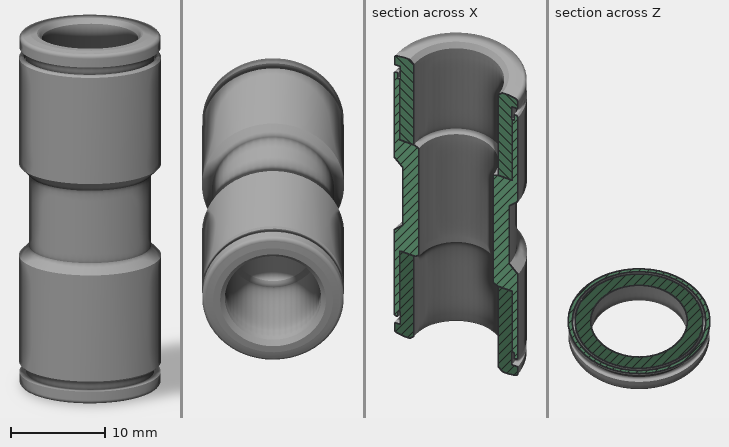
import cadquery as cq

total_length = 39.0
half_length = total_length / 2

housing_radius = 15.1 / 2
neck_radius = 13.0 / 2
neck_half_length = 4.0
shoulder_height = housing_radius - neck_radius
sleeve_end_z = 17.05
sleeve_chamfer = 0.2
clearance_radius = 14.1 / 2
clearance_depth = 0.78

passage_radius = 9.0 / 2
bore_radius = 10.2 / 2
stop_cone_height = 0.27

stem_radius = 13.6 / 2
stem_inner_end_z = 7.8
flange_radius = 15.0 / 2
flange_bottom_z = 17.98
flange_rounding = 0.43
crown_radius = 12.7 / 2
crown_drop = 0.1
mouth_radius = 11.25 / 2
mouth_depth = 0.5


def revolve_about_z(profile):
    """Turn a closed (radius, z) profile into a solid of revolution."""
    return profile.close().revolve(360, (0, 0), (0, 1))


def make_housing():
    body = revolve_about_z(
        cq.Workplane("XZ")
        .moveTo(0, -sleeve_end_z)
        .lineTo(housing_radius - sleeve_chamfer, -sleeve_end_z)
        .lineTo(housing_radius, -sleeve_end_z + sleeve_chamfer)
        .lineTo(housing_radius, -neck_half_length - shoulder_height)
        .lineTo(neck_radius, -neck_half_length)
        .lineTo(neck_radius, neck_half_length)
        .lineTo(housing_radius, neck_half_length + shoulder_height)
        .lineTo(housing_radius, sleeve_end_z - sleeve_chamfer)
        .lineTo(housing_radius - sleeve_chamfer, sleeve_end_z)
        .lineTo(0, sleeve_end_z)
    )
    clearance_floor_z = sleeve_end_z - clearance_depth
    cavity = revolve_about_z(
        cq.Workplane("XZ")
        .moveTo(0, -sleeve_end_z)
        .lineTo(clearance_radius, -sleeve_end_z)
        .lineTo(clearance_radius, -clearance_floor_z)
        .lineTo(stem_radius, -clearance_floor_z)
        .lineTo(stem_radius, -stem_inner_end_z)
        .lineTo(bore_radius, -stem_inner_end_z)
        .lineTo(passage_radius, -stem_inner_end_z + stop_cone_height)
        .lineTo(passage_radius, stem_inner_end_z - stop_cone_height)
        .lineTo(bore_radius, stem_inner_end_z)
        .lineTo(stem_radius, stem_inner_end_z)
        .lineTo(stem_radius, clearance_floor_z)
        .lineTo(clearance_radius, clearance_floor_z)
        .lineTo(clearance_radius, sleeve_end_z)
        .lineTo(0, sleeve_end_z)
    )
    return body.cut(cavity)


def make_collar():
    """Release collar at the +Z end."""
    shoulder_z = half_length - crown_drop
    return revolve_about_z(
        cq.Workplane("XZ")
        .moveTo(bore_radius, stem_inner_end_z)
        .lineTo(stem_radius, stem_inner_end_z)
        .lineTo(stem_radius, flange_bottom_z)
        .lineTo(flange_radius, flange_bottom_z)
        .lineTo(flange_radius, shoulder_z - flange_rounding)
        .radiusArc((flange_radius - flange_rounding, shoulder_z), -flange_rounding)
        .lineTo(crown_radius, half_length)
        .lineTo(mouth_radius, half_length)
        .lineTo(bore_radius, half_length - mouth_depth)
    )


housing = make_housing()
top_collar = make_collar()
collars = []
for turn in (0, 180):
    collars.append(top_collar.rotate((0, 0, 0), (1, 0, 0), turn).val())

result = cq.Compound.makeCompound([housing.val(), *collars])